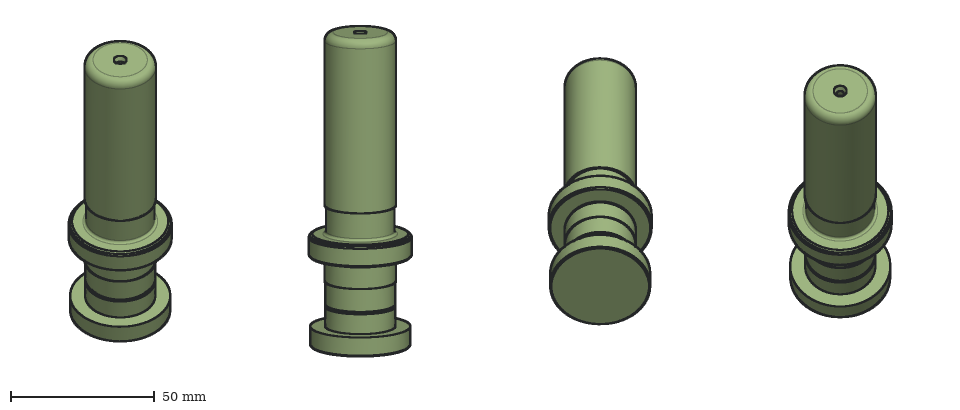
import cadquery as cq
import math

shaft_diameter = 25.0
neck_diameter = 24.0
flange_diameter = 36.0
spigot_diameter = 24.5

pillar_top = 112.0
shaft_bottom = 50.1
flange_top = 40.0
flange_bottom = 32.0
pilot_top = 30.9
pilot_bottom = 23.1
spigot_bottom = 14.0

shaft_top_round = 3.0
neck_fillet = 1.0
flange_top_chamfer_width = 0.8
flange_top_chamfer_height = 0.6
flange_top_bevel_width = 0.5
flange_top_bevel_height = 0.7
flange_bottom_chamfer = 0.6
land_chamfer = 0.1
spigot_chamfer = 0.9

centre_diameter = 2.5
centre_mouth_diameter = 4.5
centre_depth = 4.5
centre_countersink_angle = 60.0
centre_tip_angle = 120.0

washer_diameter = 35.0
washer_thickness = 7.0
boss_diameter = 24.5
washer_chamfer = 0.5


def revolve_about_z(profile):
    """Turn a closed (radius, height) profile into a solid about Z."""
    return profile.close().revolve(360, (0, 0, 0), (0, 1, 0))


def make_centre_hole():
    """Drilled hole with a conical mouth and a conical tip."""
    radius = centre_diameter / 2
    mouth_radius = centre_mouth_diameter / 2
    mouth_depth = (mouth_radius - radius) / math.tan(math.radians(centre_countersink_angle / 2))
    tip_depth = radius / math.tan(math.radians(centre_tip_angle / 2))
    profile = (
        cq.Workplane("XZ")
        .moveTo(0, pillar_top)
        .lineTo(mouth_radius, pillar_top)
        .lineTo(radius, pillar_top - mouth_depth)
        .lineTo(radius, pillar_top - centre_depth)
        .lineTo(0, pillar_top - centre_depth - tip_depth)
    )
    return revolve_about_z(profile)


def make_pillar():
    """Guide pillar: spigot, pilot, flange, neck and shaft in one turned body."""
    shaft_radius = shaft_diameter / 2
    neck_radius = neck_diameter / 2
    flange_radius = flange_diameter / 2
    spigot_radius = spigot_diameter / 2
    bevel_radius = flange_radius - flange_top_bevel_width
    bevel_top = flange_top - flange_top_chamfer_height
    profile = (
        cq.Workplane("XZ")
        .moveTo(0, spigot_bottom)
        .lineTo(spigot_radius - spigot_chamfer, spigot_bottom)
        .lineTo(spigot_radius, spigot_bottom + spigot_chamfer)
        .lineTo(spigot_radius, pilot_bottom)
        .lineTo(shaft_radius, pilot_bottom)
        .lineTo(shaft_radius, pilot_top - land_chamfer)
        .lineTo(shaft_radius - land_chamfer, pilot_top)
        .lineTo(neck_radius, pilot_top)
        .lineTo(neck_radius, flange_bottom)
        .lineTo(flange_radius - flange_bottom_chamfer, flange_bottom)
        .lineTo(flange_radius, flange_bottom + flange_bottom_chamfer)
        .lineTo(flange_radius, bevel_top - flange_top_bevel_height)
        .lineTo(bevel_radius, bevel_top)
        .lineTo(bevel_radius - flange_top_chamfer_width, flange_top)
        .lineTo(neck_radius + neck_fillet, flange_top)
        .radiusArc((neck_radius, flange_top + neck_fillet), neck_fillet)
        .lineTo(neck_radius, shaft_bottom)
        .lineTo(shaft_radius - land_chamfer, shaft_bottom)
        .lineTo(shaft_radius, shaft_bottom + land_chamfer)
        .lineTo(shaft_radius, pillar_top - shaft_top_round)
        .radiusArc((shaft_radius - shaft_top_round, pillar_top), -shaft_top_round)
        .lineTo(0, pillar_top)
    )
    return revolve_about_z(profile).cut(make_centre_hole())


def make_washer():
    """Round washer whose raised boss meets the end of the pillar."""
    disc = cq.Workplane("XY").circle(washer_diameter / 2).extrude(washer_thickness)
    disc = disc.faces("<Z").edges().chamfer(washer_chamfer)
    boss = cq.Workplane("XY").circle(boss_diameter / 2).extrude(spigot_bottom)
    return disc.union(boss)


pillar = make_pillar()
washer = make_washer()

result = cq.Compound.makeCompound([pillar.val(), washer.val()])